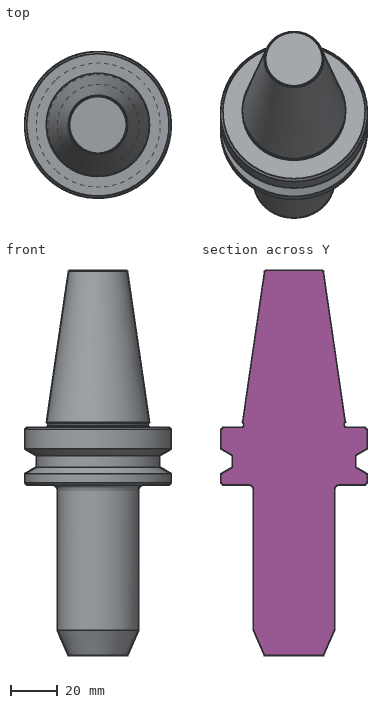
import cadquery as cq
import math

total_length = 165.4
gauge_height = 100.0
gauge_radius = 22.2
taper_slope = 7 / 48
taper_end_chamfer = 0.5

collar_recess_depth = 0.5
collar_height = 2.0
flange_diameter = 63.0
flange_thickness = 25.0
flange_chamfer = 1.0

groove_root_radius = 26.6
groove_root_width = 5.0
groove_flank_angle = 60.0
groove_center_height = 83.4

shank_radius = 17.5
shank_fillet = 2.0
nose_tip_radius = 12.7
nose_length = 10.9

flange_radius = flange_diameter / 2
taper_end_radius = gauge_radius - taper_slope * (total_length - gauge_height)
collar_recess_radius = gauge_radius - collar_recess_depth
flange_top = gauge_height - collar_height
flange_bottom = flange_top - flange_thickness
flank_height = (flange_radius - groove_root_radius) / math.tan(math.radians(groove_flank_angle))
root_top = groove_center_height + groove_root_width / 2
root_bottom = groove_center_height - groove_root_width / 2
flange_face_radius = flange_radius - flange_chamfer
fillet_mid_offset = shank_fillet * (1 - math.sqrt(0.5))

profile = (
    cq.Workplane("XZ")
    .lineTo(nose_tip_radius, 0)
    .lineTo(shank_radius, nose_length)
    .lineTo(shank_radius, flange_bottom - shank_fillet)
    .threePointArc(
        (shank_radius + fillet_mid_offset, flange_bottom - fillet_mid_offset),
        (shank_radius + shank_fillet, flange_bottom),
    )
    .lineTo(flange_face_radius, flange_bottom)
    .lineTo(flange_radius, flange_bottom + flange_chamfer)
    .lineTo(flange_radius, root_bottom - flank_height)
    .lineTo(groove_root_radius, root_bottom)
    .lineTo(groove_root_radius, root_top)
    .lineTo(flange_radius, root_top + flank_height)
    .lineTo(flange_radius, flange_top - flange_chamfer)
    .lineTo(flange_face_radius, flange_top)
    .lineTo(gauge_radius, flange_top)
    .lineTo(collar_recess_radius, flange_top + collar_recess_depth)
    .lineTo(collar_recess_radius, gauge_height - collar_recess_depth)
    .lineTo(gauge_radius, gauge_height)
    .lineTo(taper_end_radius + taper_slope * taper_end_chamfer, total_length - taper_end_chamfer)
    .lineTo(taper_end_radius - taper_end_chamfer, total_length)
    .lineTo(0, total_length)
    .close()
)

result = profile.revolve(360, (0, 0, 0), (0, 1, 0))